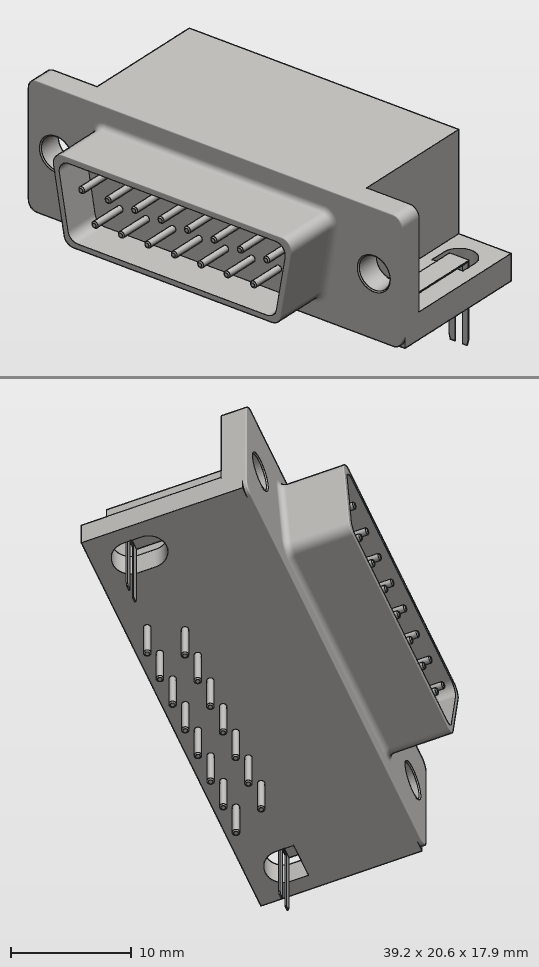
import cadquery as cq
import math


width = 39.2
height = 12.55
depth = 14.85
block_width = 28.22
foot_height = 2.63
flange_back = 2.3
flange_corner_radius = 0.98

plate_thickness = 0.4
plate_edge_radius = 0.1

fixing_spacing = 33.3
fixing_diameter = 3.2
fixing_rim_chamfer = 0.1
slot_width = 3.2
slot_centre_y = depth - 3.2
slot_straight = 1.6

shell_length = 5.8
shell_width = 24.97
shell_height = 8.43
shell_wall = 0.55
shell_corner_radius = 1.0
shell_side_angle = 9.8
shell_root_radius = 0.6
shell_lip_radius = 0.08
cavity_floor_y = -2.1
mid_z = height / 2

contact_diameter = 0.63
contact_span = 19.35
contact_row_spacing = 2.82
upper_contacts = 8
lower_contacts = 7
contact_pitch = contact_span / (upper_contacts - 1)
contact_tip_y = -5.65
contact_tip_z = -3.9
contact_tip_chamfer = 0.1
tail_middle_y = depth - 3.25

clip_thickness = 0.1
clip_width = 2.05
clip_ring_diameter = 4.0
clip_tab_height = 1.95
clip_gap = 0.8
clip_gap_top = foot_height - 0.4
clip_tip_z = -5.37
clip_tip_taper = 0.15
clip_taper_length = 0.63

overlap = 0.4
root_tolerance = 0.05


def box(x0, x1, y0, y1, z0, z1):
    return cq.Workplane("XY").box(x1 - x0, y1 - y0, z1 - z0, centered=False).translate((x0, y0, z0))


def cylinder_y(x, z, diameter, y0, y1):
    """Cylinder along Y from y0 up to y1."""
    return cq.Workplane("XZ", origin=(x, y0, z)).circle(diameter / 2).extrude(y0 - y1)


def make_housing():
    flange = box(-width / 2, width / 2, plate_thickness, flange_back, 0, height)
    flange = flange.edges("|Y and >Z").fillet(flange_corner_radius)
    foot = box(-width / 2, width / 2, plate_thickness, depth, 0, foot_height)
    block = box(-block_width / 2, block_width / 2, plate_thickness, depth, 0, height)
    return flange.union(foot).union(block)


def make_plate():
    plate = box(-width / 2, width / 2, 0, plate_thickness, 0, height)
    plate = plate.edges("|Y").fillet(flange_corner_radius)
    return plate.faces("<Y").edges().fillet(plate_edge_radius)


def d_prism(inset, y0, y1):
    """Rounded D outline, moved inward by inset with its corner radius kept, extruded from y0 to y1."""
    half_height = shell_height / 2 - inset
    slope = math.radians(shell_side_angle)
    upper_centre_x = shell_width / 2 - shell_corner_radius
    side_offset = shell_corner_radius - inset
    upper_x = upper_centre_x + side_offset / math.cos(slope) + side_offset * math.tan(slope)
    lower_x = upper_x - 2 * half_height * math.tan(slope)
    corners = [
        (-upper_x, half_height),
        (upper_x, half_height),
        (lower_x, -half_height),
        (-lower_x, -half_height),
    ]
    outline = cq.Workplane("XZ", origin=(0, y0, mid_z)).polyline(corners).close()
    return outline.extrude(y0 - y1).edges("|Y").fillet(shell_corner_radius)


def make_face():
    """Plate and shell in one piece, with a rounded root, a rounded lip and an open cavity."""
    face = make_plate().union(d_prism(0, -shell_length, plate_thickness))
    root_edges = cq.selectors.BoxSelector(
        (-shell_width / 2 - overlap, -root_tolerance, overlap),
        (shell_width / 2 + overlap, root_tolerance, height - overlap),
    )
    face = face.edges(root_edges).fillet(shell_root_radius)
    face = face.faces("<Y").edges().fillet(shell_lip_radius)
    return face.cut(d_prism(shell_wall, -shell_length - overlap, cavity_floor_y))


def make_contact(x, z, tail_y):
    """Bent contact: a pin in the shell cavity and a tail below the housing, both rooted in it."""
    pin = cylinder_y(x, z, contact_diameter, contact_tip_y, cavity_floor_y + overlap)
    pin = pin.faces("<Y").chamfer(contact_tip_chamfer)
    tail = cq.Workplane("XY", origin=(x, tail_y, contact_tip_z)).circle(contact_diameter / 2)
    tail = tail.extrude(overlap - contact_tip_z).faces("<Z").chamfer(contact_tip_chamfer)
    return pin.union(tail)


def make_clip(x):
    """Sheet clip bent from thin metal.

    A ring lies behind the flange, with a tab behind it that turns into a strap along the foot.
    A forked leg drops from the end of the strap through the slot.
    """
    half = clip_width / 2
    ring_back = flange_back + clip_thickness
    strap_top = foot_height + clip_thickness
    ring = cylinder_y(x, mid_z, clip_ring_diameter, flange_back, ring_back)
    tab_back = ring_back + clip_thickness
    tab = box(x - half, x + half, ring_back, tab_back, foot_height, foot_height + clip_tab_height)
    strap = box(x - half, x + half, ring_back, slot_centre_y, foot_height, strap_top)

    leg_outline = [
        (x - half, strap_top),
        (x + half, strap_top),
        (x + half, clip_tip_z + clip_taper_length),
        (x + half - clip_tip_taper, clip_tip_z),
        (x - half + clip_tip_taper, clip_tip_z),
        (x - half, clip_tip_z + clip_taper_length),
    ]
    leg = cq.Workplane("XZ", origin=(0, slot_centre_y, 0)).polyline(leg_outline).close()
    leg = leg.extrude(clip_thickness)
    leg_back = slot_centre_y + overlap
    leg_front = slot_centre_y - clip_thickness - overlap
    gap = box(x - clip_gap / 2, x + clip_gap / 2, leg_front, leg_back, clip_tip_z - overlap, clip_gap_top)
    return ring.union(tab).union(strap).union(leg.cut(gap))


def slot_cutter(x, rounded_front):
    """Slot through the foot, round at the back and either round or square at the front."""
    front_y = slot_centre_y - slot_straight
    half = slot_width / 2
    cutter = box(x - half, x + half, front_y, slot_centre_y, -overlap, foot_height + overlap)
    round_ends = [(x, slot_centre_y)]
    if rounded_front:
        round_ends.append((x, front_y))
    ends = cq.Workplane("XY", origin=(0, 0, -overlap)).pushPoints(round_ends).circle(half)
    return cutter.union(ends.extrude(foot_height + 2 * overlap))


def fixing_cutter(x):
    """Fixing hole through plate, flange and clip ring, with a small chamfer at the front rim."""
    hole = cylinder_y(x, mid_z, fixing_diameter, -overlap, flange_back + clip_thickness + overlap)
    rim = cq.Workplane("XZ", origin=(x, 0, mid_z)).circle(fixing_diameter / 2 + fixing_rim_chamfer)
    rim = rim.workplane(offset=-fixing_rim_chamfer).circle(fixing_diameter / 2).loft()
    return hole.union(rim)


body = make_face().union(make_housing())

for side in (-1, 1):
    fixing_x = side * fixing_spacing / 2
    body = body.cut(slot_cutter(fixing_x, rounded_front=side < 0))
    body = body.union(make_clip(fixing_x))
    body = body.cut(fixing_cutter(fixing_x))

for count, side in ((upper_contacts, 1), (lower_contacts, -1)):
    row_z = mid_z + side * contact_row_spacing / 2
    row_tail_y = tail_middle_y + side * contact_row_spacing / 2
    for i in range(count):
        contact_x = (i - (count - 1) / 2) * contact_pitch
        body = body.union(make_contact(contact_x, row_z, row_tail_y))

result = body